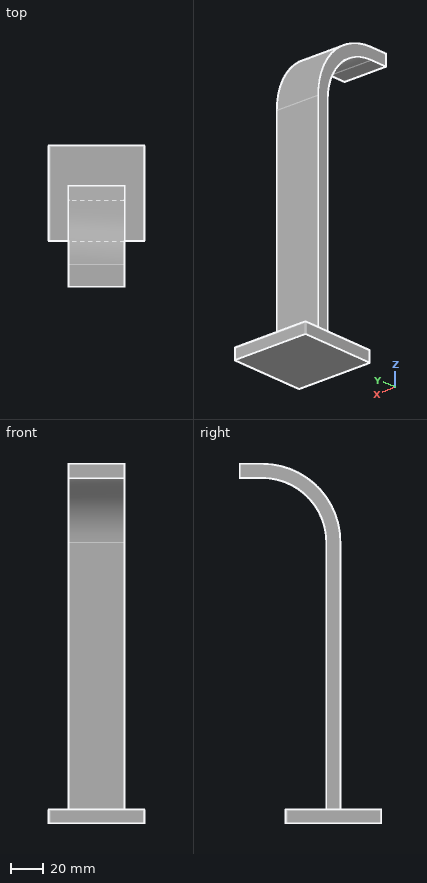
import cadquery as cq

total_height = 224.5
base_side = 60.0
base_thickness = 9.0
base_edge_radius = 0.75
arm_width = 35.0
arm_thickness = 9.0
bend_outer_radius = 49.0
total_depth = 88.5

bend_inner_radius = bend_outer_radius - arm_thickness
post_back_y = arm_thickness / 2
post_front_y = -arm_thickness / 2
tip_y = base_side / 2 - total_depth
bend_center_y = post_back_y - bend_outer_radius
bend_center_z = total_height - bend_outer_radius
arm_underside_z = total_height - arm_thickness


def make_base():
    """Square foot plate with softened upright and top edges."""
    plate = cq.Workplane("XY").box(base_side, base_side, base_thickness, centered=(True, True, False))
    return plate.edges("|Z or >Z").fillet(base_edge_radius)


def make_arm():
    """Flat bar that rises from the base and bends forward through a quarter turn."""
    bend_center = cq.Vector(bend_center_y, bend_center_z)
    diagonal = cq.Vector(1, 1).normalized()
    outer_middle = bend_center + diagonal * bend_outer_radius
    inner_middle = bend_center + diagonal * bend_inner_radius
    return (
        cq.Workplane("YZ")
        .moveTo(post_front_y, base_thickness)
        .lineTo(post_back_y, base_thickness)
        .lineTo(post_back_y, bend_center_z)
        .threePointArc((outer_middle.x, outer_middle.y), (bend_center_y, total_height))
        .lineTo(tip_y, total_height)
        .lineTo(tip_y, arm_underside_z)
        .lineTo(bend_center_y, arm_underside_z)
        .threePointArc((inner_middle.x, inner_middle.y), (post_front_y, bend_center_z))
        .close()
        .extrude(arm_width / 2, both=True)
    )


base = make_base()
arm = make_arm()
result = cq.Compound.makeCompound([base.val(), arm.val()])